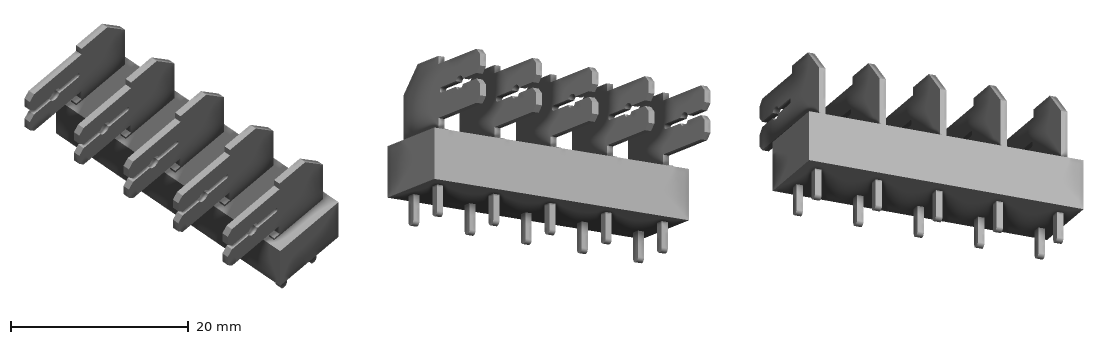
import cadquery as cq

housing_length = 34.0
housing_depth = 9.83
housing_height = 6.0
housing_back = housing_depth / 2

contact_count = 5
end_margin = 2.0
contact_pitch = (housing_length - 2 * end_margin) / (contact_count - 1)
contact_thickness = 0.8

plate_back = housing_back - 0.85
plate_depth = 7.3
plate_front = plate_back - plate_depth
plate_height = 8.95
plate_top = housing_height + plate_height
plate_bevel = 3.0
foot_length = 0.9
foot_height = 0.3

tab_length = 8.7
tab_front = plate_front - tab_length
tab_drop = 0.95
tab_height = 6.3
tab_middle = plate_top - tab_drop - tab_height / 2
slot_width = 0.65
prong_bevel = 0.7
slot_end_gap = 0.3
detent_setback = 4.3
detent_diameter = 1.6

pin_width = 1.0
pin_reach = 3.57
pin_spacing = 5.0
rear_pin_setback = 2.4
pin_positions = [housing_back - rear_pin_setback - i * pin_spacing for i in range(2)]


def across_contact():
    """Sketch plane in Y and Z on the left face of a contact that is centred on X = 0."""
    return cq.Workplane("YZ", origin=(-contact_thickness / 2, 0, 0))


def make_plate():
    """Upright plate with its bevelled upper back corner and a low foot at the front."""
    foot_front = plate_front - foot_length
    foot_top = housing_height + foot_height
    return (
        across_contact()
        .moveTo(plate_back, housing_height)
        .lineTo(plate_back, plate_top - plate_bevel)
        .lineTo(plate_back - plate_bevel, plate_top)
        .lineTo(plate_front, plate_top)
        .lineTo(plate_front, foot_top)
        .lineTo(foot_front, foot_top)
        .lineTo(foot_front, housing_height)
        .close()
        .extrude(contact_thickness)
    )


def make_tab():
    """Tab split by a round-ended slot into two bevelled prongs, with a detent hole."""
    tab = (
        across_contact()
        .center((plate_front + tab_front) / 2, tab_middle)
        .rect(tab_length, tab_height)
        .extrude(contact_thickness)
    )
    slot_round = plate_front - slot_end_gap - slot_width / 2
    slot = (
        across_contact()
        .moveTo(tab_front, tab_middle - slot_width / 2)
        .lineTo(slot_round, tab_middle - slot_width / 2)
        .threePointArc(
            (slot_round + slot_width / 2, tab_middle),
            (slot_round, tab_middle + slot_width / 2),
        )
        .lineTo(tab_front, tab_middle + slot_width / 2)
        .close()
        .extrude(contact_thickness)
    )
    detent = (
        across_contact()
        .center(tab_front + detent_setback, tab_middle)
        .circle(detent_diameter / 2)
        .extrude(contact_thickness)
    )
    prongs = tab.cut(slot).faces("<Y").edges("|X").chamfer(prong_bevel)
    return prongs.cut(detent)


def make_pin(position):
    """Straight pin from the plate down through the housing, with a round lower end."""
    radius = pin_width / 2
    return (
        across_contact()
        .moveTo(position - radius, housing_height)
        .lineTo(position - radius, radius - pin_reach)
        .threePointArc((position, -pin_reach), (position + radius, radius - pin_reach))
        .lineTo(position + radius, housing_height)
        .close()
        .extrude(contact_thickness)
    )


def make_contact():
    """One contact, a single stamped piece: plate, tab and both pins."""
    contact = make_plate().union(make_tab())
    for position in pin_positions:
        contact = contact.union(make_pin(position))
    return contact


def make_housing(contact_positions):
    """Bar with a fitting hole for every pin."""
    housing = cq.Workplane("XY").box(
        housing_length, housing_depth, housing_height, centered=(True, True, False)
    )
    pin_centres = [(x, y) for x in contact_positions for y in pin_positions]
    pin_holes = (
        cq.Workplane("XY")
        .pushPoints(pin_centres)
        .rect(contact_thickness, pin_width)
        .extrude(housing_height)
    )
    return housing.cut(pin_holes)


first_contact = end_margin - housing_length / 2
contact_positions = [first_contact + i * contact_pitch for i in range(contact_count)]

housing = make_housing(contact_positions)
contact = make_contact()
contacts = [contact.translate((x, 0, 0)) for x in contact_positions]

result = cq.Compound.makeCompound([housing.solids().val(), *[copy.solids().val() for copy in contacts]])